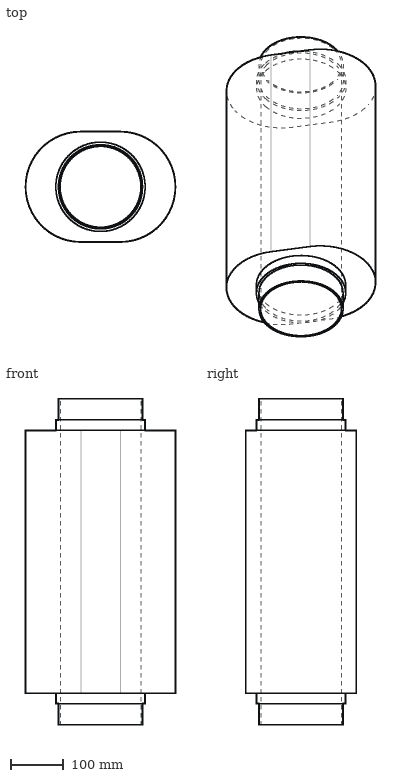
import cadquery as cq

total_height = 620.0
body_length = 285.0
body_width = 210.0

spigot_height = 40.0
spigot_diameter = 160.0
collar_height = 20.0
collar_diameter = 170.0
bore_diameter = 154.0

body_height = total_height - 2 * (spigot_height + collar_height)
collar_span = body_height + 2 * collar_height


def centred_cylinder(diameter, height):
    """Cylinder along Z, centred on the origin."""
    return cq.Workplane("XY").circle(diameter / 2).extrude(height / 2, both=True)


body = cq.Workplane("XY").slot2D(body_length, body_width).extrude(body_height / 2, both=True)

collars = centred_cylinder(collar_diameter, collar_span)
spigots = centred_cylinder(spigot_diameter, total_height)

bore = centred_cylinder(bore_diameter, total_height)

result = body.union(collars).union(spigots).cut(bore)